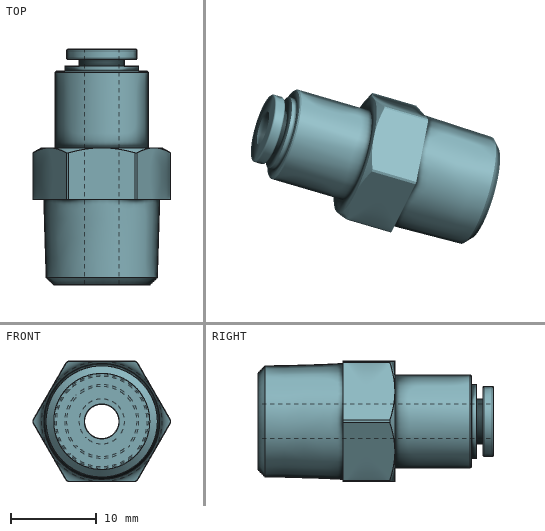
import cadquery as cq
import math

total_length = 27.42
lead_in_length = 0.85
hex_start = 9.9
hex_end = 15.93
body_end = 24.87
ring_end = 25.45
collar_start = 26.19

end_face_radius = 5.6
taper_small_radius = 6.47
taper_large_radius = 6.75
body_radius = 5.43
ring_radius = 4.3
neck_radius = 2.63
collar_radius = 4.09
bore_radius = 2.0

across_flats = 14.0
across_corners = 16.0
hex_chamfer_angle = 30.0
body_chamfer = 0.16
collar_fillet = 0.2


def revolve_profile(points):
    """Revolve (radius, y) points about the Y axis, closing along the axis."""
    profile = [(0, points[0][1])] + points + [(0, points[-1][1])]
    return cq.Workplane("XY").polyline(profile).close().revolve(360, (0, 0), (0, 1))


def cylinder(radius, start, end):
    return revolve_profile([(radius, start), (radius, end)])


def make_tapered_thread():
    return revolve_profile([
        (end_face_radius, 0),
        (taper_small_radius, lead_in_length),
        (taper_large_radius, hex_start),
    ])


def make_hexagon():
    """Hexagon with flats facing Z, trimmed corners and a chamfer on its +Y end."""
    sharp_diameter = across_flats / math.cos(math.radians(30))
    prism = (
        cq.Workplane("XZ", origin=(0, hex_start, 0))
        .polygon(6, sharp_diameter)
        .extrude(hex_start - hex_end)
    )
    corner_radius = across_corners / 2
    flat_radius = across_flats / 2
    chamfer_length = (corner_radius - flat_radius) * math.tan(math.radians(hex_chamfer_angle))
    envelope = revolve_profile([
        (corner_radius, hex_start),
        (corner_radius, hex_end - chamfer_length),
        (flat_radius, hex_end),
    ])
    return prism.intersect(envelope)


def make_body():
    body = cylinder(body_radius, hex_end, body_end)
    return body.faces(">Y").edges().chamfer(body_chamfer)


def make_release_collar():
    """Ring, neck and rounded push collar at the tube end."""
    ring = cylinder(ring_radius, body_end, ring_end)
    neck = cylinder(neck_radius, ring_end, collar_start)
    collar = cylinder(collar_radius, collar_start, total_length).edges("%CIRCLE").fillet(collar_fillet)
    return ring.union(neck).union(collar)


solid = make_tapered_thread().union(make_hexagon()).union(make_body()).union(make_release_collar())
result = solid.cut(cylinder(bore_radius, 0, total_length))